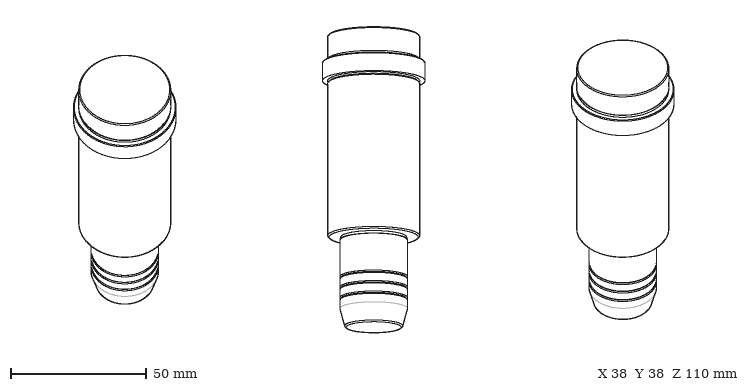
import cadquery as cq

TOTAL_HEIGHT = 110.0
BODY_RADIUS = 17.0
FLANGE_RADIUS = 18.98
SHANK_RADIUS = 12.5

TAPER_TOP = 7.0
SHOULDER_HEIGHT = 34.0
FLANGE_BOTTOM = 93.0
FLANGE_TOP = 100.0

FLANGE_GROOVE_WIDTH = 1.0
FLANGE_GROOVE_DEPTH = 0.5

NECK_LENGTH = 1.0
SHANK_NECK_DEPTH = 0.3

BODY_CHAMFER = 0.5
TOP_CHAMFER = 0.4
FLANGE_CHAMFER = 0.3
TIP_CHAMFER = 0.5

TIP_RADIUS = 10.8
GROOVE_COUNT = 3
GROOVE_WIDTH = 0.9
GROOVE_DEPTH = 0.3
GROOVE_PITCH = 4.0
LOWEST_GROOVE_BOTTOM = 10.2


def v_groove(surface_radius, bottom, width, depth):
    """Cutter for a symmetric V groove around the Z axis."""
    profile = [
        (surface_radius, bottom),
        (surface_radius - depth, bottom + width / 2),
        (surface_radius, bottom + width),
    ]
    return cq.Workplane("XZ").polyline(profile).close().revolve(360, (0, 0), (0, 1))


def turned_body():
    """Revolve the stepped half profile around the Z axis."""
    shank_neck_radius = SHANK_RADIUS - SHANK_NECK_DEPTH
    profile = [
        (0, 0),
        (TIP_RADIUS - TIP_CHAMFER, 0),
        (TIP_RADIUS, TIP_CHAMFER),
        (SHANK_RADIUS, TAPER_TOP),
        (SHANK_RADIUS, SHOULDER_HEIGHT - NECK_LENGTH),
        (shank_neck_radius, SHOULDER_HEIGHT - NECK_LENGTH),
        (shank_neck_radius, SHOULDER_HEIGHT),
        (BODY_RADIUS - BODY_CHAMFER, SHOULDER_HEIGHT),
        (BODY_RADIUS, SHOULDER_HEIGHT + BODY_CHAMFER),
        (BODY_RADIUS, FLANGE_BOTTOM),
        (FLANGE_RADIUS, FLANGE_BOTTOM),
        (FLANGE_RADIUS, FLANGE_TOP - FLANGE_CHAMFER),
        (FLANGE_RADIUS - FLANGE_CHAMFER, FLANGE_TOP),
        (BODY_RADIUS, FLANGE_TOP),
        (BODY_RADIUS, TOTAL_HEIGHT - TOP_CHAMFER),
        (BODY_RADIUS - TOP_CHAMFER, TOTAL_HEIGHT),
        (0, TOTAL_HEIGHT),
    ]
    return cq.Workplane("XZ").polyline(profile).close().revolve(360, (0, 0), (0, 1))


result = turned_body()

for groove_bottom in (FLANGE_BOTTOM - FLANGE_GROOVE_WIDTH, FLANGE_TOP):
    groove = v_groove(BODY_RADIUS, groove_bottom, FLANGE_GROOVE_WIDTH, FLANGE_GROOVE_DEPTH)
    result = result.cut(groove)

for index in range(GROOVE_COUNT):
    groove_bottom = LOWEST_GROOVE_BOTTOM + index * GROOVE_PITCH
    groove = v_groove(SHANK_RADIUS, groove_bottom, GROOVE_WIDTH, GROOVE_DEPTH)
    result = result.cut(groove)